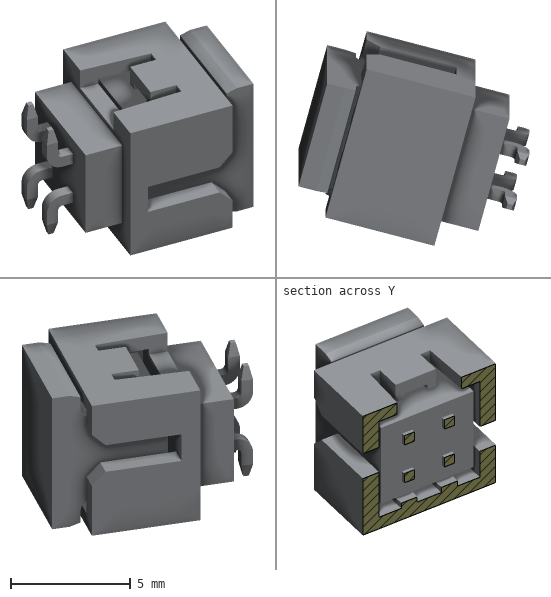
import cadquery as cq
import math


SHELL_WIDTH = 6.65
SHELL_HEIGHT = 6.30
SHELL_LENGTH = 4.72
CAVITY_SIZE = 5.03
FRONT_WALL = 0.82

RIB_WIDTH = 0.81
RIB_HEIGHT = 0.27

SLOT_HEIGHT = 1.29
SLOT_OFFSET = 0.505
SLOT_LEAD_IN = 0.60

WINDOW_FRONT_WIDTH = 3.29
WINDOW_REAR_WIDTH = 3.00
WINDOW_REAR_Y = 3.21
TONGUE_WIDTH = 2.01
TONGUE_FRONT_Y = 2.01

PLUG_WIDTH = 4.62
PLUG_HEIGHT = 4.00
PLUG_GAP = 0.30
FLANGE_HEIGHT = 6.35
FLANGE_THICKNESS = 1.24
FLANGE_FLAT = 0.77
FLANGE_BEVEL_DROP = 0.135
FLANGE_CLEARANCE = 0.20
FLANGE_FILLET = 0.50

BASE_WIDTH = CAVITY_SIZE
BASE_HEIGHT = PLUG_HEIGHT
BASE_LENGTH = 1.69

PIN_PITCH = 2.00
PIN_SIZE = 0.515
PIN_REACH = 1.20
PIN_INNER_BEND = 0.20
PIN_TAPER_Z = 2.06
PIN_TIP_Z = 2.67
PIN_TIP_SIZE = 0.23

PIN_CENTERS = (-PIN_PITCH / 2, PIN_PITCH / 2)
SIDE_WALL = (SHELL_WIDTH - CAVITY_SIZE) / 2
RIB_TIP_Z = CAVITY_SIZE / 2 - RIB_HEIGHT
PLUG_FRONT_Y = FRONT_WALL + PLUG_GAP
FLANGE_FRONT_Y = SHELL_LENGTH + FLANGE_CLEARANCE
FLANGE_REAR_Y = FLANGE_FRONT_Y + FLANGE_THICKNESS


def block(x_range, y_range, z_range):
    """Box spanning the given (low, high) range on each axis."""
    lengths = [high - low for low, high in (x_range, y_range, z_range)]
    corner = (x_range[0], y_range[0], z_range[0])
    return cq.Workplane("XY").box(*lengths, centered=False).translate(corner)


def centred(size):
    """Range of the given size about zero."""
    return (-size / 2, size / 2)


def extrude_along_x(profile, width, x_center=0.0):
    """Extrude a closed YZ profile symmetrically about x_center."""
    return profile.extrude(width / 2, both=True).translate((x_center, 0, 0))


def make_ribs():
    ribs = cq.Workplane("XY")
    ceiling = (RIB_TIP_Z, CAVITY_SIZE / 2)
    floor = (-CAVITY_SIZE / 2, -RIB_TIP_Z)
    for x in PIN_CENTERS:
        for z_range in (ceiling, floor):
            x_range = (x - RIB_WIDTH / 2, x + RIB_WIDTH / 2)
            ribs = ribs.add(block(x_range, (FRONT_WALL, SHELL_LENGTH), z_range))
    return ribs


def make_side_slot(side):
    """Slot through one side wall (side is -1 or +1) with a flared rear entry."""
    z_center = -side * SLOT_OFFSET
    half = SLOT_HEIGHT / 2
    flare_y = SHELL_LENGTH - SLOT_LEAD_IN
    profile = cq.Workplane("YZ").polyline([
        (FRONT_WALL, z_center - half),
        (flare_y, z_center - half),
        (SHELL_LENGTH, z_center - half - SLOT_LEAD_IN),
        (SHELL_LENGTH, z_center + half + SLOT_LEAD_IN),
        (flare_y, z_center + half),
        (FRONT_WALL, z_center + half),
    ]).close()
    return extrude_along_x(profile, SIDE_WALL, side * (SHELL_WIDTH - SIDE_WALL) / 2)


def make_window():
    """Tapered opening in the top wall, leaving the tongue at its rear."""
    front = WINDOW_FRONT_WIDTH / 2
    rear = WINDOW_REAR_WIDTH / 2
    tongue = TONGUE_WIDTH / 2
    return (
        cq.Workplane("XY", origin=(0, 0, RIB_TIP_Z))
        .polyline([
            (-front, 0),
            (-rear, WINDOW_REAR_Y),
            (-tongue, WINDOW_REAR_Y),
            (-tongue, TONGUE_FRONT_Y),
            (tongue, TONGUE_FRONT_Y),
            (tongue, WINDOW_REAR_Y),
            (rear, WINDOW_REAR_Y),
            (front, 0),
        ])
        .close()
        .extrude(SHELL_HEIGHT / 2 - RIB_TIP_Z)
    )


def make_shell():
    outer = block(centred(SHELL_WIDTH), (0, SHELL_LENGTH), centred(SHELL_HEIGHT))
    cavity = block(centred(CAVITY_SIZE), (FRONT_WALL, SHELL_LENGTH), centred(CAVITY_SIZE))
    shell = outer.cut(cavity)
    for rib in make_ribs().vals():
        shell = shell.union(cq.Workplane(rib))
    for side in (-1, 1):
        shell = shell.cut(make_side_slot(side))
    return shell.cut(make_window())


def make_plug():
    """Plug body and flange as one profile, filleted where they meet."""
    plug_z = PLUG_HEIGHT / 2
    flange_z = FLANGE_HEIGHT / 2
    bevel_y = FLANGE_REAR_Y - FLANGE_FLAT
    bevel_z = flange_z - FLANGE_BEVEL_DROP
    fillet_y = FLANGE_FRONT_Y - FLANGE_FILLET
    fillet_z = plug_z + FLANGE_FILLET
    mid_y = fillet_y + FLANGE_FILLET * math.sqrt(0.5)
    mid_z = fillet_z - FLANGE_FILLET * math.sqrt(0.5)
    profile = (
        cq.Workplane("YZ")
        .moveTo(PLUG_FRONT_Y, -plug_z)
        .lineTo(PLUG_FRONT_Y, plug_z)
        .lineTo(fillet_y, plug_z)
        .threePointArc((mid_y, mid_z), (FLANGE_FRONT_Y, fillet_z))
        .lineTo(FLANGE_FRONT_Y, bevel_z)
        .lineTo(bevel_y, flange_z)
        .lineTo(FLANGE_REAR_Y, flange_z)
        .lineTo(FLANGE_REAR_Y, -flange_z)
        .lineTo(bevel_y, -flange_z)
        .lineTo(FLANGE_FRONT_Y, -bevel_z)
        .lineTo(FLANGE_FRONT_Y, -fillet_z)
        .threePointArc((mid_y, -mid_z), (fillet_y, -plug_z))
        .close()
    )
    return extrude_along_x(profile, PLUG_WIDTH)


def make_upper_pin(x):
    """Square pin from the plug through the base, bent up to a tapered tip."""
    half = PIN_SIZE / 2
    axis_z = PIN_PITCH / 2
    front_y = -BASE_LENGTH - PIN_REACH
    axis_y = front_y + half
    inner_y = front_y + PIN_SIZE
    outer_bend = PIN_INNER_BEND + PIN_SIZE
    bend_y = front_y + outer_bend
    bend_z = axis_z - half + outer_bend
    diagonal = math.sqrt(0.5)
    profile = (
        cq.Workplane("YZ")
        .moveTo(PLUG_FRONT_Y, axis_z - half)
        .lineTo(bend_y, axis_z - half)
        .threePointArc(
            (bend_y - outer_bend * diagonal, bend_z - outer_bend * diagonal),
            (front_y, bend_z),
        )
        .lineTo(front_y, PIN_TAPER_Z)
        .lineTo(inner_y, PIN_TAPER_Z)
        .lineTo(inner_y, bend_z)
        .threePointArc(
            (bend_y - PIN_INNER_BEND * diagonal, bend_z - PIN_INNER_BEND * diagonal),
            (bend_y, axis_z + half),
        )
        .lineTo(PLUG_FRONT_Y, axis_z + half)
        .close()
    )
    stem = extrude_along_x(profile, PIN_SIZE, x)
    tip = (
        cq.Workplane("XY", origin=(x, axis_y, PIN_TAPER_Z))
        .rect(PIN_SIZE, PIN_SIZE)
        .workplane(offset=PIN_TIP_Z - PIN_TAPER_Z)
        .rect(PIN_TIP_SIZE, PIN_TIP_SIZE)
        .loft(combine=True)
    )
    return stem.union(tip)


def make_base():
    return block(centred(BASE_WIDTH), (-BASE_LENGTH, 0), centred(BASE_HEIGHT))


def make_connector():
    connector = make_shell().union(make_base()).union(make_plug())
    for x in PIN_CENTERS:
        upper_pin = make_upper_pin(x)
        connector = connector.union(upper_pin).union(upper_pin.mirror("XY"))
    return connector


result = make_connector()